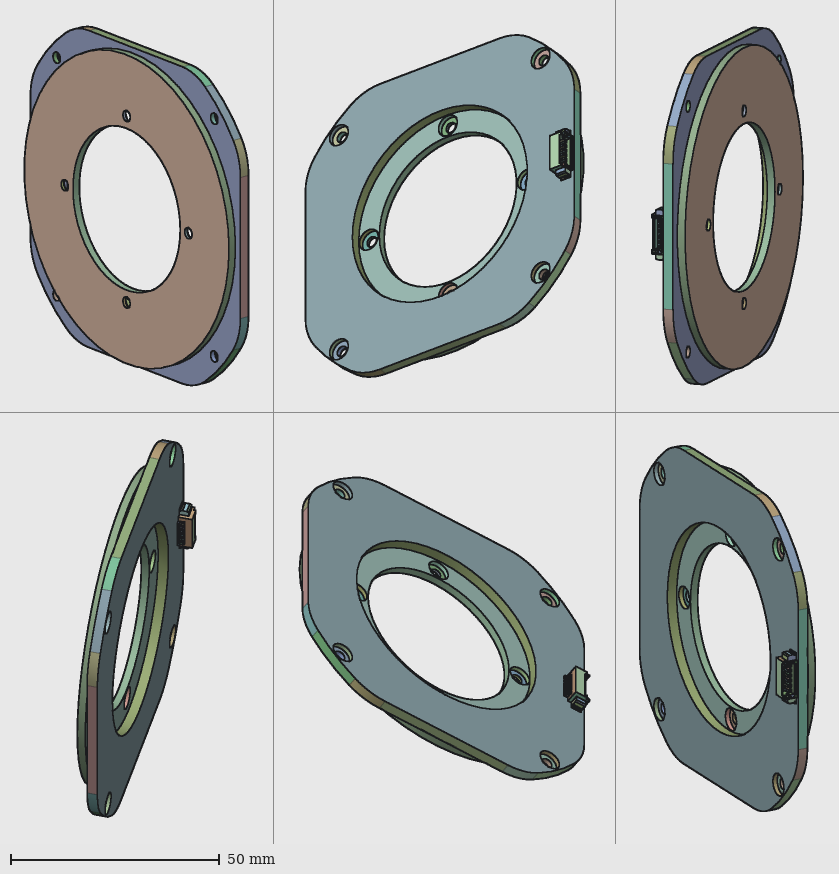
import cadquery as cq

ring_thickness = 2.0
air_gap = 0.7
plate_thickness = 2.6
plate_front = ring_thickness + air_gap
plate_back = plate_front + plate_thickness
overall_depth = 8.7

ring_diameter = 78.0
ring_bore = 40.8
ring_hole_diameter = 2.7
ring_hole_radius = 23.5
ring_hole_count = 4
ring_counterbore_diameter = 5.5
ring_counterbore_depth = 1.2

plate_side = 80.0
plate_corner_radius = 45.7
plate_blend_radius = 15.0
plate_bore = 52.0
plate_hole_diameter = 2.7
plate_hole_pitch = 60.0
plate_counterbore_diameter = 5.5
plate_counterbore_depth = 1.2

housing_mouth_x = -39.5
housing_back_x = -35.2
housing_half_length = 4.7
housing_wall = 0.5
end_wall_top = 8.2
housing_end_wall = 0.8
housing_back_wall = 0.7
housing_floor = 0.6
end_wall_step = 1.0
roof_setback = 1.5
mouth_bevel = 0.5
edge_bevel = 0.2
key_slot_height = 0.6
key_slot_depth = 0.6
key_slot_y = 7.2

tab_front_x = -39.0
tab_back_x = -36.2
tab_reach = 1.4
tab_bottom_y = 5.6
tab_top_y = 7.6
tab_bevel_reach = 0.2
tab_bevel_height = 0.5
foot_reach = 1.8
foot_thickness = 0.2

contact_count = 6
contact_pitch = 1.3
contact_width = 0.6
contact_tip_x = -38.6
contact_top_y = 7.1
contact_height = 1.0
contact_tip_chamfer = 0.2
lead_top_y = 6.9
lead_thickness = 0.5
lead_bend_x = -34.6
lead_end_x = -34.1


def box(x_range, y_range, z_range):
    """Axis-aligned box between the given limits."""
    size = [limits[1] - limits[0] for limits in (x_range, y_range, z_range)]
    return (
        cq.Workplane("XY")
        .box(*size, centered=False)
        .translate((x_range[0], y_range[0], z_range[0]))
    )


def facing_back(y):
    """Workplane at height y whose extrusions run toward +Y."""
    return cq.Workplane("XZ", origin=(0, y, 0))


def make_ring():
    body = facing_back(0).circle(ring_diameter / 2).circle(ring_bore / 2).extrude(-ring_thickness)
    holes = (
        facing_back(0)
        .polarArray(ring_hole_radius, 0, 360, ring_hole_count)
        .circle(ring_hole_diameter / 2)
        .extrude(-ring_thickness)
    )
    counterbores = (
        facing_back(ring_thickness)
        .polarArray(ring_hole_radius, 0, 360, ring_hole_count)
        .circle(ring_counterbore_diameter / 2)
        .extrude(ring_counterbore_depth)
    )
    return body.cut(holes).cut(counterbores)


def make_plate():
    square = facing_back(plate_front).rect(plate_side, plate_side).extrude(-plate_thickness)
    disc = facing_back(plate_front).circle(plate_corner_radius).extrude(-plate_thickness)
    bore = facing_back(plate_front).circle(plate_bore / 2).extrude(-plate_thickness)
    holes = (
        facing_back(plate_front)
        .rect(plate_hole_pitch, plate_hole_pitch, forConstruction=True)
        .vertices()
        .circle(plate_hole_diameter / 2)
        .extrude(-plate_thickness)
    )
    counterbores = (
        facing_back(plate_back)
        .rect(plate_hole_pitch, plate_hole_pitch, forConstruction=True)
        .vertices()
        .circle(plate_counterbore_diameter / 2)
        .extrude(plate_counterbore_depth)
    )
    outline = square.intersect(disc).edges("|Y").fillet(plate_blend_radius)
    return outline.cut(bore).cut(holes).cut(counterbores)


def make_housing():
    roof_bottom = overall_depth - housing_wall
    floor_top = plate_back + housing_floor
    half_cavity = housing_half_length - housing_end_wall
    roof_front_x = housing_mouth_x + roof_setback
    full_length = (-housing_half_length, housing_half_length)

    shell = box((housing_mouth_x, housing_back_x), (plate_back, overall_depth), full_length)
    cavity = box(
        (housing_mouth_x, housing_back_x - housing_back_wall),
        (floor_top, roof_bottom),
        (-half_cavity, half_cavity),
    )
    end_wall_relief = box(
        (housing_mouth_x, housing_mouth_x + end_wall_step),
        (end_wall_top, overall_depth),
        full_length,
    )
    mouth_opening = box(
        (housing_mouth_x, roof_front_x),
        (floor_top, overall_depth),
        (-half_cavity, half_cavity),
    )
    end_wall_bevels = (
        cq.Workplane("XZ", origin=(0, floor_top, 0))
        .polyline([
            (housing_mouth_x, -half_cavity - mouth_bevel),
            (housing_mouth_x + mouth_bevel, -half_cavity),
            (housing_mouth_x + mouth_bevel, half_cavity),
            (housing_mouth_x, half_cavity + mouth_bevel),
        ])
        .close()
        .extrude(floor_top - roof_bottom)
    )
    floor_and_roof_bevels = (
        cq.Workplane("XY")
        .polyline([
            (housing_mouth_x, floor_top - edge_bevel),
            (housing_mouth_x + edge_bevel, floor_top),
            (roof_front_x + edge_bevel, roof_bottom),
            (roof_front_x, roof_bottom + edge_bevel),
            (housing_mouth_x, roof_bottom + edge_bevel),
        ])
        .close()
        .extrude(half_cavity, both=True)
    )
    half_slot = half_cavity + key_slot_depth
    key_slots = box(
        (housing_mouth_x, roof_front_x),
        (key_slot_y - key_slot_height / 2, key_slot_y + key_slot_height / 2),
        (-half_slot, half_slot),
    )
    cuts = (cavity, end_wall_relief, mouth_opening, end_wall_bevels, floor_and_roof_bevels, key_slots)
    for cut in cuts:
        shell = shell.cut(cut)
    return shell


def make_tab(side):
    """Beveled mounting tab with its solder foot; side is +1 or -1 along Z."""
    root_z = side * housing_half_length
    bevel_z = side * (housing_half_length + tab_reach - tab_bevel_reach)
    tip_z = side * (housing_half_length + tab_reach)
    foot_z = side * (housing_half_length + foot_reach)
    foot_top = plate_back + foot_thickness
    return (
        cq.Workplane("YZ", origin=(tab_front_x, 0, 0))
        .polyline([
            (plate_back, root_z),
            (plate_back, foot_z),
            (foot_top, foot_z),
            (foot_top, bevel_z),
            (tab_bottom_y + tab_bevel_height, tip_z),
            (tab_top_y - tab_bevel_height, tip_z),
            (tab_top_y, bevel_z),
            (tab_top_y, root_z),
        ])
        .close()
        .extrude(tab_back_x - tab_front_x)
    )


def make_contact(z):
    """Pin inside the cavity and the bent lead behind the housing."""
    width = (z - contact_width / 2, z + contact_width / 2)
    pin = box(
        (contact_tip_x, housing_back_x),
        (contact_top_y - contact_height, contact_top_y),
        width,
    )
    pin = pin.faces("<X").chamfer(contact_tip_chamfer)
    lead = (
        cq.Workplane("XY", origin=(0, 0, width[0]))
        .polyline([
            (housing_back_x, lead_top_y),
            (lead_bend_x, lead_top_y),
            (lead_bend_x, plate_back + lead_thickness),
            (lead_end_x, plate_back + lead_thickness),
            (lead_end_x, plate_back),
            (lead_bend_x - lead_thickness, plate_back),
            (lead_bend_x - lead_thickness, lead_top_y - lead_thickness),
            (housing_back_x, lead_top_y - lead_thickness),
        ])
        .close()
        .extrude(contact_width)
    )
    return pin.union(lead)


def make_connector():
    connector = make_housing()
    for side in (-1, 1):
        connector = connector.union(make_tab(side))
    for index in range(contact_count):
        z = (index - (contact_count - 1) / 2) * contact_pitch
        connector = connector.union(make_contact(z))
    return connector


ring = make_ring()
plate = make_plate()
connector = make_connector()
result = cq.Compound.makeCompound([ring.val(), plate.val(), connector.val()])